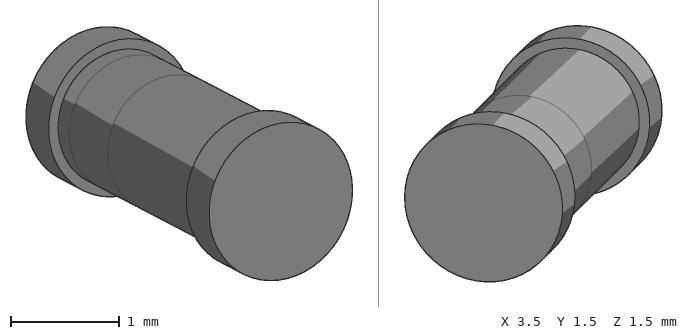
import cadquery as cq

total_length = 3.5
cap_diameter = 1.5
cap_length = 0.438
barrel_diameter = 1.305
band_offset = 0.655
band_length = 0.728

left_end = -total_length / 2
right_end = total_length / 2
barrel_start = left_end + cap_length
barrel_end = right_end - cap_length
band_start = left_end + band_offset
band_end = band_start + band_length


def cylinder_along_x(diameter, start, end):
    """Solid cylinder on the X axis between two X positions."""
    return cq.Workplane("YZ", origin=(start, 0, 0)).circle(diameter / 2).extrude(end - start)


def make_barrel():
    """One glass barrel whose surface is divided by the edges of the marking band."""
    barrel = cylinder_along_x(barrel_diameter, barrel_start, band_start)
    for start, end in [(band_start, band_end), (band_end, barrel_end)]:
        barrel = barrel.union(cylinder_along_x(barrel_diameter, start, end), clean=False)
    return barrel


def make_end_cap(start):
    """Solid end cap that butts against one end of the barrel."""
    return cylinder_along_x(cap_diameter, start, start + cap_length)


barrel = make_barrel()
end_caps = [make_end_cap(start) for start in (left_end, barrel_end)]

result = cq.Compound.makeCompound([barrel.solids().val(), *[cap.val() for cap in end_caps]])